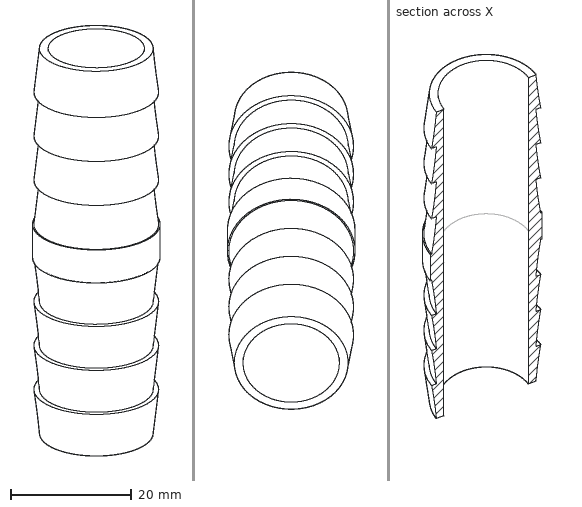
import cadquery as cq

total_length = 70.0
collar_height = 6.0
collar_diameter = 21.3
barb_root_diameter = 19.0
barb_crest_diameter = 20.8
bore_diameter = 16.0
barbs_per_side = 4

barb_length = (total_length - collar_height) / 2 / barbs_per_side


def make_barb(crest_z, direction):
    """Cone tapering from its crest at crest_z toward the hose end; direction is +1 (up) or -1 (down)."""
    axis = cq.Vector(0, 0, direction)
    cone = cq.Solid.makeCone(
        barb_crest_diameter / 2,
        barb_root_diameter / 2,
        barb_length,
        pnt=cq.Vector(0, 0, crest_z),
        dir=axis,
    )
    return cq.Workplane(obj=cone)


body = cq.Workplane("XY").circle(collar_diameter / 2).extrude(collar_height / 2, both=True)

for direction in (1, -1):
    for index in range(barbs_per_side):
        crest_z = direction * (collar_height / 2 + index * barb_length)
        body = body.union(make_barb(crest_z, direction))

bore = cq.Workplane("XY").circle(bore_diameter / 2).extrude(total_length / 2, both=True)

result = body.cut(bore)